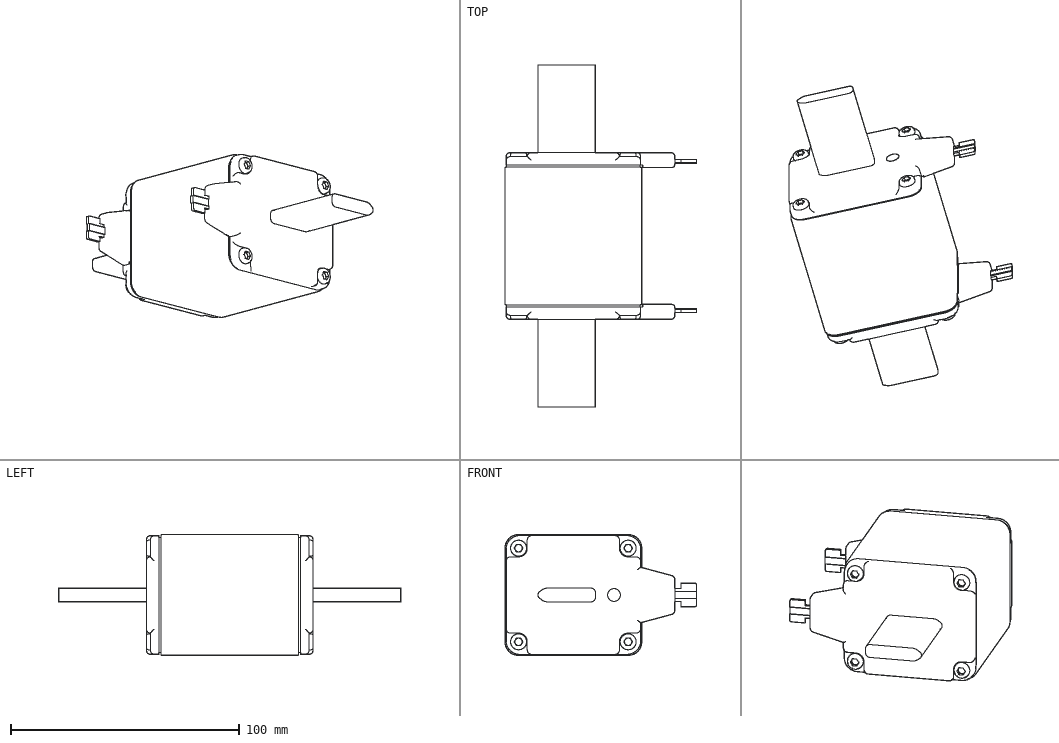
import cadquery as cq
import math


BODY_WIDTH = 60.0
BODY_LENGTH = 60.3
BODY_HEIGHT = 53.0
BODY_CORNER_RADIUS = 6.0
BODY_END_FILLET = 0.5

COVER_INSET = 0.5
COVER_WIDTH = BODY_WIDTH - 2 * COVER_INSET
COVER_HEIGHT = BODY_HEIGHT - 2 * COVER_INSET
COVER_CORNER_RADIUS = 6.0
COVER_GAP = 0.9
COVER_INNER_Y = BODY_LENGTH / 2 + COVER_GAP
COVER_OUTER_Y = 36.55
COVER_EDGE_FILLET = 1.8
COVER_SIDE_CORNER_RADIUS = 2.0

NECK_WIDTH = 58.6
NECK_HEIGHT = 50.4
NECK_CORNER_RADIUS = COVER_CORNER_RADIUS
NECK_EMBEDDING = 1.0

SCREW_X = BODY_WIDTH / 2 - BODY_CORNER_RADIUS
SCREW_Z = BODY_HEIGHT / 2 - BODY_CORNER_RADIUS
POCKET_RADIUS = 3.8
POCKET_DEPTH = COVER_EDGE_FILLET
SCREW_HEAD_RADIUS = 3.5
SCREW_HEAD_FILLET = 1.0
SOCKET_ACROSS_CORNERS = 3.8
SOCKET_DEPTH = 1.5
SOCKET_CONE_RADIUS = 1.6
SOCKET_CONE_DEPTH = 0.8

LUG_TIP_X = BODY_WIDTH / 2 + 14.5
LUG_ROOT_HALF_HEIGHT = 12.2
LUG_TAPER_DEG = 15.0
LUG_INNER_Y = 29.9
LUG_INNER_FILLET = 1.5
LUG_CLEARANCE = 0.3

TAB_END_X = BODY_WIDTH / 2 + 24.0
TAB_HEAD_X = BODY_WIDTH / 2 + 17.1
TAB_NECK_HALF_HEIGHT = 2.9
TAB_HEAD_HALF_HEIGHT = 5.2
TAB_CORNER_RADIUS = 0.8
TAB_OUTER_Y = 33.6
TAB_THICKNESS = 1.4
TAB_EMBOSS_HEIGHT = 3.2
TAB_EMBOSS_DEPTH = 0.5
TAB_EMBEDDING = 2.0

BLADE_LENGTH = 150.0
BLADE_THICKNESS = 6.0
BLADE_LEFT_X = -15.5
BLADE_RIGHT_X = 9.7
BLADE_RIGHT_FILLET = 2.0
BLADE_NOSE_RADIUS = 1.85
BLADE_BEVEL_DEG = 36.0
BLADE_BEVEL_BLEND_RADIUS = 4.0

INDICATOR_X = 17.8
INDICATOR_RADIUS = 2.8
INDICATOR_DEPTH = 0.1

SELECTION_MARGIN = 0.1

CORNER_SIGNS = [(sx, sz) for sx in (-1, 1) for sz in (-1, 1)]


def plane_at(depth):
    """XZ workplane at y = -depth; extrusions run outwards, towards -Y."""
    return cq.Workplane("XZ", origin=(0, -depth, 0))


def rounded_block(width, height, corner_radius, inner, outer):
    """Block with rounded long edges between two distances from mid-length."""
    block = plane_at(inner).rect(width, height).extrude(outer - inner)
    return block.edges("|Y").fillet(corner_radius)


def make_body():
    half = BODY_LENGTH / 2
    body = rounded_block(BODY_WIDTH, BODY_HEIGHT, BODY_CORNER_RADIUS, -half, half)
    return body.faces("<Y or >Y").edges().fillet(BODY_END_FILLET)


def make_blade():
    half_thickness = BLADE_THICKNESS / 2
    bevel = math.radians(BLADE_BEVEL_DEG)
    nose_x = BLADE_LEFT_X + BLADE_NOSE_RADIUS * (1 - math.sin(bevel))
    nose_z = BLADE_NOSE_RADIUS * math.cos(bevel)
    bevel_end_x = nose_x + (half_thickness - nose_z) / math.tan(bevel)
    blade = (
        plane_at(-BLADE_LENGTH / 2)
        .moveTo(BLADE_RIGHT_X, -half_thickness)
        .lineTo(BLADE_RIGHT_X, half_thickness)
        .lineTo(bevel_end_x, half_thickness)
        .lineTo(nose_x, nose_z)
        .threePointArc((BLADE_LEFT_X, 0), (nose_x, -nose_z))
        .lineTo(bevel_end_x, -half_thickness)
        .close()
        .extrude(BLADE_LENGTH)
    )
    blade = blade.edges("|Y and >X").fillet(BLADE_RIGHT_FILLET)
    for side in (-1, 1):
        bevel_edge = cq.selectors.NearestToPointSelector((bevel_end_x, 0, side * half_thickness))
        blade = blade.edges(bevel_edge).fillet(BLADE_BEVEL_BLEND_RADIUS)
    return blade


def make_cover_base():
    """Full-outline layer of the cover, up to the floor of the screw pockets."""
    base = rounded_block(
        COVER_WIDTH, COVER_HEIGHT, COVER_CORNER_RADIUS, COVER_INNER_Y, COVER_OUTER_Y - POCKET_DEPTH
    )
    return base.faces("<Y").edges().fillet(COVER_EDGE_FILLET)


def make_lug_blank(thickness):
    """Square-edged tapered lug, reaching back into the cover."""
    root_x = COVER_WIDTH / 2
    taper = math.tan(math.radians(LUG_TAPER_DEG))
    tip_half_height = LUG_ROOT_HALF_HEIGHT - (LUG_TIP_X - root_x) * taper
    outline = [
        (0, LUG_ROOT_HALF_HEIGHT),
        (root_x, LUG_ROOT_HALF_HEIGHT),
        (LUG_TIP_X, tip_half_height),
        (LUG_TIP_X, -tip_half_height),
        (root_x, -LUG_ROOT_HALF_HEIGHT),
        (0, -LUG_ROOT_HALF_HEIGHT),
    ]
    return plane_at(LUG_INNER_Y).polyline(outline).close().extrude(thickness)


def make_cover_plate():
    """Outer layer of the cover: pocketed corners and the tapered pull lug."""
    side_x = COVER_WIDTH / 2
    side_z = COVER_HEIGHT / 2
    wall_x = SCREW_X - POCKET_RADIUS
    wall_z = SCREW_Z - POCKET_RADIUS
    thickness = COVER_OUTER_Y - LUG_INNER_Y

    plate = plane_at(LUG_INNER_Y).rect(COVER_WIDTH, COVER_HEIGHT).extrude(thickness)
    plate = plate.union(make_lug_blank(thickness))
    for sx, sz in CORNER_SIGNS:
        pocket = rounded_block(
            2 * (side_x - wall_x), 2 * (side_z - wall_z), POCKET_RADIUS, LUG_INNER_Y, COVER_OUTER_Y
        )
        plate = plate.cut(pocket.translate((sx * side_x, 0, sz * side_z)))

    mid_y = -(COVER_OUTER_Y + LUG_INNER_Y) / 2
    for sx, sz in CORNER_SIGNS:
        for x, z in ((side_x, wall_z), (wall_x, side_z)):
            mouth = cq.selectors.NearestToPointSelector((sx * x, mid_y, sz * z))
            plate = plate.edges("|Y").edges(mouth).fillet(COVER_SIDE_CORNER_RADIUS)
    plate = plate.edges("|Y and >X").fillet(COVER_SIDE_CORNER_RADIUS)
    plate = plate.faces("<Y").edges().fillet(COVER_EDGE_FILLET)

    lug_zone = cq.selectors.BoxSelector(
        (side_x, -COVER_OUTER_Y, -side_z), (LUG_TIP_X + side_x, 0, side_z)
    )
    side_edges = cq.selectors.BoxSelector(
        (side_x - SELECTION_MARGIN, -COVER_OUTER_Y, -side_z),
        (side_x + SELECTION_MARGIN, 0, side_z),
    )
    plate = plate.faces(">Y").edges(lug_zone - side_edges).fillet(LUG_INNER_FILLET)
    relief_end_x = BODY_WIDTH / 2 + LUG_CLEARANCE
    relief = plane_at(LUG_INNER_Y).rect(2 * relief_end_x, BODY_HEIGHT)
    return plate.cut(relief.extrude(COVER_INNER_Y - LUG_INNER_Y))


def make_screw(x, z):
    floor = COVER_OUTER_Y - POCKET_DEPTH
    head = plane_at(floor).center(x, z).circle(SCREW_HEAD_RADIUS).extrude(POCKET_DEPTH)
    return head.faces("<Y").edges().fillet(SCREW_HEAD_FILLET)


def make_socket(x, z):
    """Hexagon socket with a drill-point cone at its bottom."""
    bottom = COVER_OUTER_Y - SOCKET_DEPTH
    socket = plane_at(bottom).center(x, z).polygon(6, SOCKET_ACROSS_CORNERS).extrude(SOCKET_DEPTH)
    cone = cq.Solid.makeCone(
        SOCKET_CONE_RADIUS, 0, SOCKET_CONE_DEPTH, cq.Vector(x, -bottom, z), cq.Vector(0, 1, 0)
    )
    return socket.union(cq.Workplane(cone))


def make_tab():
    """T-shaped tab with a lengthwise strip embossed towards the middle of the part."""
    start_x = LUG_TIP_X - TAB_EMBEDDING
    inner = TAB_OUTER_Y - TAB_THICKNESS
    length = TAB_END_X - start_x
    middle_x = (TAB_END_X + start_x) / 2
    neck_length = TAB_HEAD_X - start_x + TAB_CORNER_RADIUS
    head = (
        plane_at(inner)
        .center((TAB_HEAD_X + TAB_END_X) / 2, 0)
        .rect(TAB_END_X - TAB_HEAD_X, 2 * TAB_HEAD_HALF_HEIGHT)
        .extrude(TAB_THICKNESS)
        .edges("|Y and >X")
        .fillet(TAB_CORNER_RADIUS)
    )
    neck = (
        plane_at(inner)
        .center(start_x + neck_length / 2, 0)
        .rect(neck_length, 2 * TAB_NECK_HALF_HEIGHT)
        .extrude(TAB_THICKNESS)
    )
    strip = plane_at(0).center(middle_x, 0).rect(length, TAB_EMBOSS_HEIGHT).extrude(TAB_EMBOSS_DEPTH)
    rib = strip.translate((0, -(inner - TAB_EMBOSS_DEPTH), 0))
    groove = strip.translate((0, -(TAB_OUTER_Y - TAB_EMBOSS_DEPTH), 0))
    return head.union(neck).union(rib).cut(groove)


def make_end():
    """Everything fixed to the -Y end of the body."""
    end = make_cover_base().union(make_cover_plate())
    neck_inner = BODY_LENGTH / 2 - NECK_EMBEDDING
    neck_outer = COVER_INNER_Y + NECK_EMBEDDING
    neck = rounded_block(NECK_WIDTH, NECK_HEIGHT, NECK_CORNER_RADIUS, neck_inner, neck_outer)
    end = end.union(neck).union(make_tab())
    for sx, sz in CORNER_SIGNS:
        end = end.union(make_screw(sx * SCREW_X, sz * SCREW_Z))
        end = end.cut(make_socket(sx * SCREW_X, sz * SCREW_Z))
    return end


def make_indicator():
    return (
        plane_at(COVER_OUTER_Y - INDICATOR_DEPTH)
        .center(INDICATOR_X, 0)
        .circle(INDICATOR_RADIUS)
        .extrude(INDICATOR_DEPTH)
    )


front_end = make_end()
back_end = front_end.mirror("XZ")
result = make_body().union(front_end).union(back_end).cut(make_indicator()).union(make_blade())